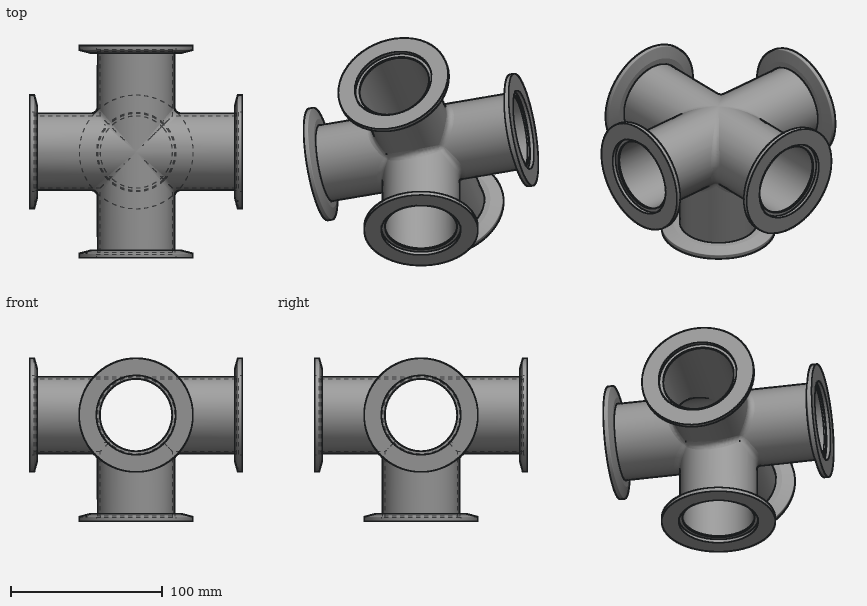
import cadquery as cq
import math


face_reach = 70.0
tube_diameter = 50.8
tube_bore = 47.6
branch_fillet = 4.0

flange_diameter = 75.0
flange_thickness = 5.1
flange_bore = 47.5
recess_diameter = 52.4
recess_depth = 2.6
socket_diameter = 51.1
lip_thickness = 1.2
rim_thickness = 3.0
clamp_taper_angle = 15.0
rim_fillet = 0.5

taper_rise = flange_thickness - rim_thickness
hub_radius = flange_diameter / 2 - taper_rise / math.tan(math.radians(clamp_taper_angle))
tube_reach = face_reach - recess_depth - lip_thickness

branches = [(1, 0, 0), (-1, 0, 0), (0, 1, 0), (0, -1, 0), (0, 0, -1)]


def outward_plane(direction, distance):
    """Plane at a distance along a branch, facing away from the centre."""
    origin = tuple(distance * component for component in direction)
    across = (0, 1, 0) if direction[0] else (1, 0, 0)
    return cq.Plane(origin=origin, xDir=across, normal=direction)


def crossed_rods(diameter):
    """Solid rods along X and Y and down along Z, joined at the centre."""
    rod_x = cq.Workplane("YZ").circle(diameter / 2).extrude(tube_reach, both=True)
    rod_y = cq.Workplane("XZ").circle(diameter / 2).extrude(tube_reach, both=True)
    rod_down = cq.Workplane("XY").circle(diameter / 2).extrude(-tube_reach)
    return rod_x.union(rod_y).union(rod_down)


def make_tube_cross():
    """Hollow five-branch tube with blended outer seams and open ends."""
    outside = crossed_rods(tube_diameter)
    outside = outside.edges("%ELLIPSE").fillet(branch_fillet)
    return outside.cut(crossed_rods(tube_bore))


def make_flange(direction):
    """Clamp flange whose sealing face lies at the end of one branch."""
    back_plane = outward_plane(direction, face_reach - flange_thickness)
    rim_radius = flange_diameter / 2
    blank = (
        cq.Workplane("XZ")
        .polyline([
            (0, 0),
            (hub_radius, 0),
            (rim_radius, taper_rise),
            (rim_radius, flange_thickness),
            (0, flange_thickness),
        ])
        .close()
        .revolve(360, (0, 0, 0), (0, 1, 0))
    )
    blank = blank.edges(cq.selectors.RadiusNthSelector(-1)).edges("<Z").fillet(rim_fillet)
    socket_depth = flange_thickness - recess_depth - lip_thickness
    flange = (
        blank
        .faces(">Z").workplane().circle(recess_diameter / 2).cutBlind(-recess_depth)
        .faces("<Z").workplane().circle(socket_diameter / 2).cutBlind(-socket_depth)
        .faces("<Z").workplane().circle(flange_bore / 2).cutThruAll()
    )
    return cq.Workplane(flange.val().moved(cq.Location(back_plane)))


tube_cross = make_tube_cross()
flanges = [make_flange(direction) for direction in branches]

result = cq.Compound.makeCompound([tube_cross.val(), *[flange.val() for flange in flanges]])